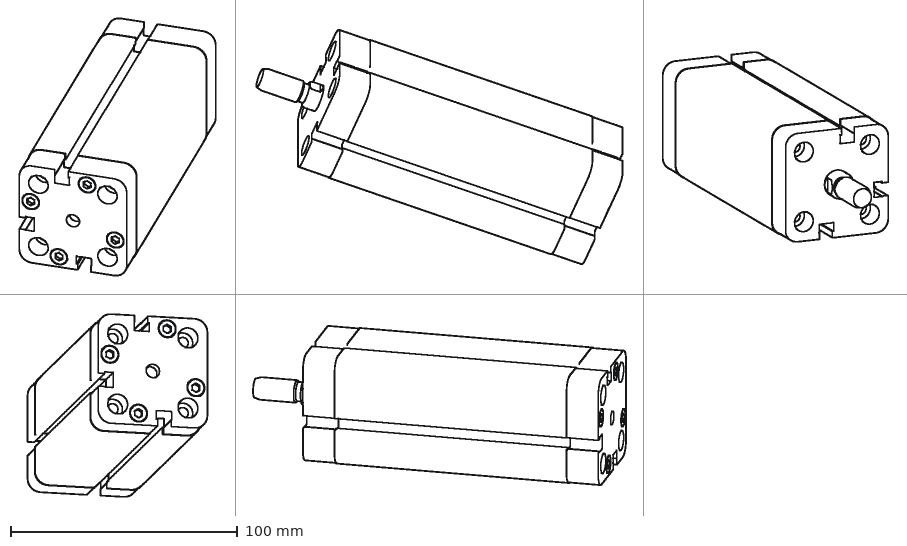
import cadquery as cq
import math


total_length = 162.5
rod_projection = 28.0
cap_length = 14.5
tube_width = 50.0
cap_width = 49.5
corner_center = 18.8
front_face_y = total_length - rod_projection
tube_length = front_face_y - 2 * cap_length

slot_offset = 5.0
mouth_half_width = 2.8
groove_half_width = 3.4
tube_groove_relief = 0.2
cap_lip_overhang = 0.2
slot_floor = 17.9
lip_bottom = 21.8
lip_round = 0.3
floor_round = 0.5
slot_angles = (0, 90, 180)

mount_offset = 16.0
mount_diameter = 4.9
counterbore_diameter = 9.0
counterbore_depth = 9.8

screw_long_offset = 19.5
screw_short_offset = 6.5
screw_bore_diameter = 8.0
screw_head_diameter = 7.5
screw_head_height = 4.0
socket_corner_diameter = 4.0
socket_depth = 2.0

center_hole_diameter = 6.0
center_hole_depth = 4.9

rod_diameter = 12.0
rod_length = 6.2
rod_end_round = 1.3
neck_diameter = 8.6
thread_diameter = 10.0
thread_start = 9.3
thread_tip_diameter = 8.6
thread_tip_length = 2.5
flats_width = 10.0
flats_start = 1.3
flats_runout = (rod_diameter - flats_width) / 2


def rounded_block(width, start_y, length):
    corner_radius = width / 2 - corner_center
    return (
        cq.Workplane("XZ", origin=(0, start_y, 0))
        .rect(width, width)
        .extrude(-length)
        .edges("|Y")
        .fillet(corner_radius)
    )


def slot_cutter(width, start_y, length, outer_mouth, groove_relief):
    """T-slot in the top side; the relief widens and deepens the groove under the lips."""
    surface = width / 2
    inner_mouth = -slot_offset + mouth_half_width
    inner_wall = -slot_offset + groove_half_width + groove_relief
    outer_wall = -slot_offset - groove_half_width - groove_relief
    floor = slot_floor - groove_relief
    lip_inset = lip_round * (1 - math.sqrt(0.5))
    floor_inset = floor_round * (1 - math.sqrt(0.5))
    return (
        cq.Workplane("XZ", origin=(0, start_y, 0))
        .moveTo(outer_wall + floor_round, floor)
        .lineTo(inner_wall, floor)
        .lineTo(inner_wall, lip_bottom)
        .lineTo(inner_mouth, lip_bottom)
        .lineTo(inner_mouth, surface - lip_round)
        .threePointArc(
            (inner_mouth + lip_inset, surface - lip_inset),
            (inner_mouth + lip_round, surface),
        )
        .lineTo(outer_mouth - lip_round, surface)
        .threePointArc(
            (outer_mouth - lip_inset, surface - lip_inset),
            (outer_mouth, surface - lip_round),
        )
        .lineTo(outer_mouth, lip_bottom)
        .lineTo(outer_wall, lip_bottom)
        .lineTo(outer_wall, floor + floor_round)
        .threePointArc(
            (outer_wall + floor_inset, floor + floor_inset),
            (outer_wall + floor_round, floor),
        )
        .close()
        .extrude(-length)
    )


def slotted_block(width, start_y, length, outer_mouth, groove_relief=0):
    block = rounded_block(width, start_y, length)
    cutter = slot_cutter(width, start_y, length, outer_mouth, groove_relief)
    for angle in slot_angles:
        block = block.cut(cutter.rotate((0, 0, 0), (0, -1, 0), angle))
    return block


def cylinder_at(points, diameter, start_y, length):
    return (
        cq.Workplane("XZ", origin=(0, start_y, 0))
        .pushPoints(points)
        .circle(diameter / 2)
        .extrude(-length)
    )


def mounting_holes():
    points = [(x, z) for x in (-mount_offset, mount_offset) for z in (-mount_offset, mount_offset)]
    holes = cylinder_at(points, mount_diameter, 0, front_face_y)
    rear = cylinder_at(points, counterbore_diameter, 0, counterbore_depth)
    front = cylinder_at(points, counterbore_diameter, front_face_y - counterbore_depth, counterbore_depth)
    return holes.union(rear).union(front)


def screw_recesses(points):
    """Ring gap around each flush screw head, plus its hexagon socket."""
    gaps = cylinder_at(points, screw_bore_diameter, 0, screw_head_height).cut(
        cylinder_at(points, screw_head_diameter, 0, screw_head_height)
    )
    socket = (
        cq.Workplane("XZ")
        .polygon(6, socket_corner_diameter)
        .extrude(-socket_depth)
        .rotate((0, 0, 0), (0, 1, 0), 90)
    )
    for x, z in points:
        gaps = gaps.union(socket.translate((x, 0, z)))
    return gaps


def piston_rod():
    rod_radius = rod_diameter / 2
    neck_radius = neck_diameter / 2
    thread_radius = thread_diameter / 2
    tip_radius = thread_tip_diameter / 2
    thread_relief = thread_radius - neck_radius
    round_inset = rod_end_round * (1 - math.sqrt(0.5))
    rod = (
        cq.Workplane("XY")
        .lineTo(rod_radius, 0)
        .lineTo(rod_radius, rod_length - rod_end_round)
        .threePointArc(
            (rod_radius - round_inset, rod_length - round_inset),
            (rod_radius - rod_end_round, rod_length),
        )
        .lineTo(neck_radius, rod_length)
        .lineTo(neck_radius, thread_start - thread_relief)
        .lineTo(thread_radius, thread_start)
        .lineTo(thread_radius, rod_projection - thread_tip_length)
        .lineTo(tip_radius, rod_projection)
        .lineTo(0, rod_projection)
        .close()
        .revolve(360, (0, 0, 0), (0, 1, 0))
    )

    half_flats = flats_width / 2
    flat_cutter = (
        cq.Workplane("XY")
        .moveTo(half_flats, rod_length)
        .lineTo(half_flats, flats_start)
        .lineTo(half_flats + flats_runout, flats_start - flats_runout)
        .lineTo(half_flats + flats_runout, rod_length)
        .close()
        .extrude(rod_radius, both=True)
    )
    return rod.cut(flat_cutter).cut(flat_cutter.mirror("YZ")).translate((0, front_face_y, 0))


screw_points = [
    (screw_short_offset, screw_long_offset),
    (-screw_long_offset, screw_short_offset),
    (-screw_short_offset, -screw_long_offset),
    (screw_long_offset, -screw_short_offset),
]

tube_outer_mouth = -slot_offset - mouth_half_width
cap_outer_mouth = -slot_offset - groove_half_width + cap_lip_overhang

tube = slotted_block(tube_width, cap_length, tube_length, tube_outer_mouth, tube_groove_relief)
rear_cap = slotted_block(cap_width, 0, cap_length, cap_outer_mouth)
front_cap = slotted_block(cap_width, front_face_y - cap_length, cap_length, cap_outer_mouth)

result = (
    tube.union(rear_cap)
    .union(front_cap)
    .cut(mounting_holes())
    .cut(screw_recesses(screw_points))
    .cut(cylinder_at([(0, 0)], center_hole_diameter, 0, center_hole_depth))
    .union(piston_rod())
)